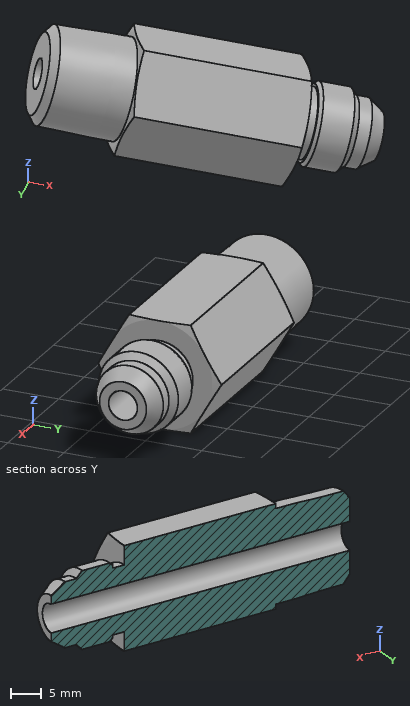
import cadquery as cq
import math

length = 57.55
bore_diameter = 5.1

inlet_face_diameter = 13.8
inlet_chamfer_length = 1.25
taper_small_diameter = 16.85
taper_end = 10.5
shank_diameter = 17.3

hex_start = 14.3
hex_length = 29.25
hex_flats = 19.05
hex_chamfer_length = 0.4

neck_diameter = 12.15
neck_length = 2.15
collar_diameter = 14.3
collar_length = 7.1
collar_back_chamfer_length = 0.65
collar_back_face_diameter = 13.1
nose_diameter = 12.0
cone_length = 2.65
tip_diameter = 8.35

hex_end = hex_start + hex_length
collar_start = hex_end + neck_length
collar_end = collar_start + collar_length
collar_front_chamfer = (collar_diameter - nose_diameter) / 2
cone_start = length - cone_length
hex_corners = hex_flats / math.cos(math.pi / 6)


def revolve_profile(stations):
    """Solid of revolution about X from (x, diameter) stations."""
    outline = [(x, diameter / 2) for x, diameter in stations]
    first_x = stations[0][0]
    last_x = stations[-1][0]
    profile = cq.Workplane("XY").polyline([(first_x, 0)] + outline + [(last_x, 0)]).close()
    return profile.revolve(360, (0, 0, 0), (1, 0, 0))


def make_inlet():
    return revolve_profile([
        (0, inlet_face_diameter),
        (inlet_chamfer_length, taper_small_diameter),
        (taper_end, shank_diameter),
        (hex_start, shank_diameter),
    ])


def make_hex_body():
    """Hexagonal bar whose corners are turned down to a cone at both ends."""
    bar = cq.Workplane("YZ").workplane(offset=hex_start).polygon(6, hex_corners).extrude(hex_length)
    corner_cones = revolve_profile([
        (hex_start, hex_flats),
        (hex_start + hex_chamfer_length, hex_corners),
        (hex_end - hex_chamfer_length, hex_corners),
        (hex_end, hex_flats),
    ])
    return bar.intersect(corner_cones)


def make_outlet():
    return revolve_profile([
        (hex_end, neck_diameter),
        (collar_start, neck_diameter),
        (collar_start, collar_back_face_diameter),
        (collar_start + collar_back_chamfer_length, collar_diameter),
        (collar_end - collar_front_chamfer, collar_diameter),
        (collar_end, nose_diameter),
        (cone_start, nose_diameter),
        (length, tip_diameter),
    ])


def make_bore():
    """Flow passage right through the fitting."""
    return cq.Workplane("YZ").circle(bore_diameter / 2).extrude(length)


result = make_inlet().union(make_hex_body()).union(make_outlet()).cut(make_bore())